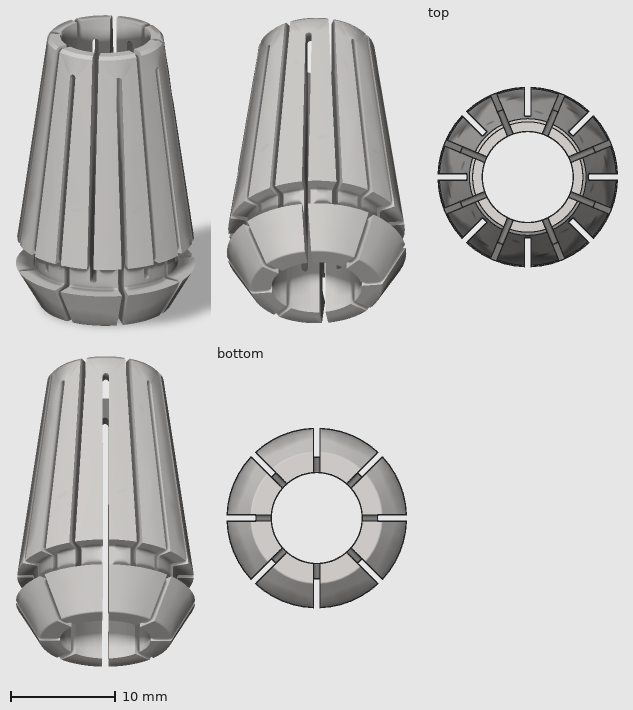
import cadquery as cq
import math

overall_length = 27.5
bore_diameter = 8.72

flange_diameter = 17.25
flange_height = 4.0
flange_taper_angle = 30.0
end_fillet = 0.2

neck_diameter = 13.78
neck_top = 6.68
neck_fillet = 0.2

taper_diameter = 16.97
taper_angle = 8.0
top_chamfer = 0.3

slots_per_end = 8
slot_width = 0.6
lower_slot_top = 25.46
upper_slot_bottom = 4.6

bore_radius = bore_diameter / 2
flange_radius = flange_diameter / 2
neck_radius = neck_diameter / 2
taper_radius = taper_diameter / 2
slot_pitch = 360.0 / slots_per_end


def collet_body():
    """Revolve the half section of the collet around Z."""
    flange_angle = math.radians(flange_taper_angle)
    flange_end_radius = flange_radius - flange_height * math.tan(flange_angle)
    end_fillet_center = flange_end_radius - end_fillet * math.tan((math.pi / 2 - flange_angle) / 2)

    def end_fillet_point(angle_below_horizontal):
        """Radius and height of a point on the rounded end edge."""
        return (
            end_fillet_center + end_fillet * math.cos(angle_below_horizontal),
            end_fillet * (1 - math.sin(angle_below_horizontal)),
        )

    taper_slope = math.tan(math.radians(taper_angle))
    chamfer_start = overall_length - top_chamfer
    chamfer_radius = taper_radius - (chamfer_start - neck_top) * taper_slope
    fillet_mid = neck_fillet * (1 - math.sqrt(0.5))

    section = (
        cq.Workplane("XZ")
        .moveTo(bore_radius, 0)
        .lineTo(end_fillet_center, 0)
        .threePointArc(
            end_fillet_point((math.pi / 2 + flange_angle) / 2),
            end_fillet_point(flange_angle),
        )
        .lineTo(flange_radius, flange_height)
        .lineTo(neck_radius + neck_fillet, flange_height)
        .threePointArc(
            (neck_radius + fillet_mid, flange_height + fillet_mid),
            (neck_radius, flange_height + neck_fillet),
        )
        .lineTo(neck_radius, neck_top - neck_fillet)
        .threePointArc(
            (neck_radius + fillet_mid, neck_top - fillet_mid),
            (neck_radius + neck_fillet, neck_top),
        )
        .lineTo(taper_radius, neck_top)
        .lineTo(chamfer_radius, chamfer_start)
        .lineTo(chamfer_radius - top_chamfer, overall_length)
        .lineTo(bore_radius, overall_length)
        .close()
    )
    return section.revolve(360, (0, 0, 0), (0, 1, 0))


def slot_cutter(open_end, round_end, angle):
    """Radial slot on one side of the axis, from an open end face to a full-round end."""
    half_width = slot_width / 2
    direction = math.copysign(1, round_end - open_end)
    arc_start = round_end - direction * half_width
    return (
        cq.Workplane("YZ")
        .moveTo(-half_width, open_end)
        .lineTo(-half_width, arc_start)
        .threePointArc((0, round_end), (half_width, arc_start))
        .lineTo(half_width, open_end)
        .close()
        .extrude(flange_diameter)
        .rotate((0, 0, 0), (0, 0, 1), angle)
    )


result = collet_body()
for index in range(slots_per_end):
    lower_angle = index * slot_pitch
    upper_angle = lower_angle + slot_pitch / 2
    result = result.cut(slot_cutter(0, lower_slot_top, lower_angle))
    result = result.cut(slot_cutter(overall_length, upper_slot_bottom, upper_angle))